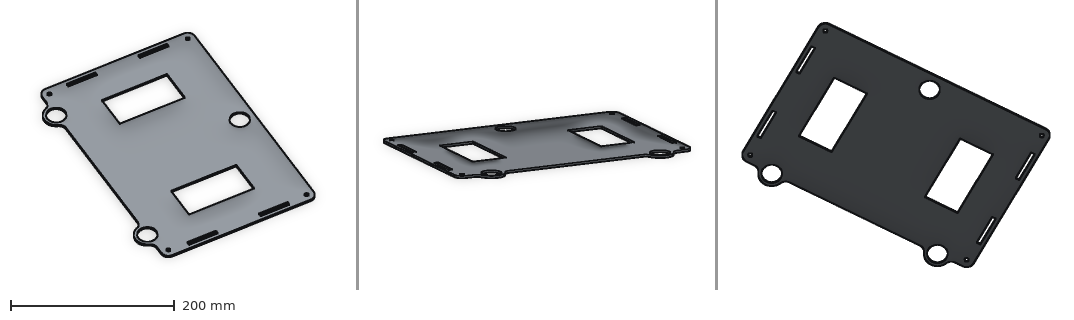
import cadquery as cq
import math

length = 320.0
total_depth = 229.0
thickness = 3.0
corner_radius = 10.0

lug_radius = 16.5
lug_offset_x = 115.0
blend_radius = 10.0

large_hole_diameter = 25.0
rear_hole_inset = 20.0
screw_hole_diameter = 5.0
screw_hole_inset = 10.0
slot_width = 4.8
slot_length = 40.0
slot_inset = 7.7
slot_spacing = 100.0
window_width = 45.5
window_length = 91.0
window_offset_x = 87.5

depth = total_depth - lug_radius
front_y = -depth / 2
rear_y = depth / 2


def make_lug(center_x):
    """Round lug with a concave blend to the plate edge on each flank."""
    lug = cq.Workplane("XY").circle(lug_radius).extrude(thickness)
    reach = math.sqrt(lug_radius**2 + 2 * lug_radius * blend_radius)
    for side in (-1, 1):
        tangent_point = (side * reach, 0)
        blend_center = (side * reach, -blend_radius)
        web = cq.Workplane("XY").polyline([(0, 0), tangent_point, blend_center]).close().extrude(thickness)
        relief = cq.Workplane("XY").center(*blend_center).circle(blend_radius).extrude(thickness)
        lug = lug.union(web.cut(relief))
    return lug.translate((center_x, front_y, 0))


def cut_circles(body, points, diameter):
    return body.cut(cq.Workplane("XY").pushPoints(points).circle(diameter / 2).extrude(thickness))


def cut_rectangles(body, points, width, height):
    return body.cut(cq.Workplane("XY").pushPoints(points).rect(width, height).extrude(thickness))


plate = cq.Workplane("XY").rect(length, depth).extrude(thickness)
plate = plate.edges("|Z").fillet(corner_radius)
for lug_x in (-lug_offset_x, lug_offset_x):
    plate = plate.union(make_lug(lug_x))

large_holes = [
    (0, rear_y - rear_hole_inset),
    (-lug_offset_x, front_y),
    (lug_offset_x, front_y),
]
plate = cut_circles(plate, large_holes, large_hole_diameter)

screw_x = length / 2 - screw_hole_inset
screw_y = depth / 2 - screw_hole_inset
screw_holes = [(x, y) for x in (-screw_x, screw_x) for y in (-screw_y, screw_y)]
plate = cut_circles(plate, screw_holes, screw_hole_diameter)

slot_x = length / 2 - slot_inset
slot_y = slot_spacing / 2
slots = [(x, y) for x in (-slot_x, slot_x) for y in (-slot_y, slot_y)]
plate = cut_rectangles(plate, slots, slot_width, slot_length)

windows = [(-window_offset_x, 0), (window_offset_x, 0)]
plate = cut_rectangles(plate, windows, window_width, window_length)

result = plate